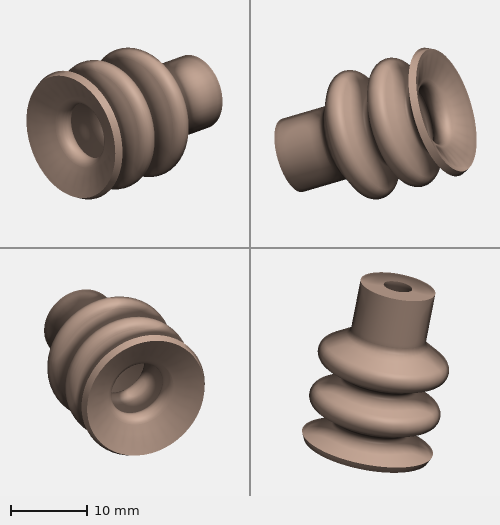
import cadquery as cq
import math

length = 23.0
outer_diameter = 17.5
wall = 1.01

pitch = 6.25
fold_count = 2
valley_diameter = 9.52
valley_round = 0.5
crest_round = 1.5

neck_diameter = 10.0
neck_start = 16.24
neck_round = 0.92
bore_diameter = 3.82

CREST = 1
VALLEY = -1


def flank_angle(crest, valley):
    """Angle from radial of the outward normal of the straight flank tangent to both rounds."""
    crest_r, crest_y, crest_size, _ = crest
    valley_r, valley_y, valley_size, _ = valley
    radial = valley_r - crest_r
    axial = valley_y - crest_y
    swing = math.acos((crest_size + valley_size) / math.hypot(radial, axial))
    return math.atan2(axial, radial) - math.copysign(swing, axial)


def point_on_round(bend, normal_angle, inset):
    """Point of the wall where its outward normal has the given angle, inset from the outside."""
    center_r, center_y, size, side = bend
    reach = side * size - inset
    return (center_r + reach * math.cos(normal_angle), center_y + reach * math.sin(normal_angle))


crest_center_r = outer_diameter / 2 - crest_round
valley_center_r = valley_diameter / 2 + valley_round
slope = abs(flank_angle((crest_center_r, pitch / 2, crest_round, CREST),
                        (valley_center_r, 0, valley_round, VALLEY)))

lip_outer = (outer_diameter / 2, wall * math.sin(slope))
lip_inner = (outer_diameter / 2 - wall * math.cos(slope), 0)
lip_flank_end_r = valley_center_r - valley_round * math.cos(slope)
lip_flank_height = (lip_outer[0] - lip_flank_end_r) / math.tan(slope)
first_valley_y = lip_outer[1] + lip_flank_height + valley_round * math.sin(slope)

bends = []
for fold in range(fold_count):
    valley_y = first_valley_y + fold * pitch
    bends.append((valley_center_r, valley_y, valley_round, VALLEY))
    bends.append((crest_center_r, valley_y + pitch / 2, crest_round, CREST))
bends.append((neck_diameter / 2 + neck_round, neck_start, neck_round, VALLEY))

normal_angles = [slope]
for bend, next_bend in zip(bends, bends[1:]):
    if bend[3] == CREST:
        normal_angles.append(flank_angle(bend, next_bend))
    else:
        normal_angles.append(flank_angle(next_bend, bend))
normal_angles.append(0)


def bellows_solid(lip_point, inset, end_y):
    """Solid of revolution bounded by the bellows wall at an inset, from Y = 0 to end_y."""
    outline = cq.Workplane("XY").moveTo(0, 0).lineTo(lip_inner[0], lip_inner[1])
    if lip_point != lip_inner:
        outline = outline.lineTo(*lip_point)
    for bend, start, end in zip(bends, normal_angles, normal_angles[1:]):
        outline = outline.lineTo(*point_on_round(bend, start, inset))
        outline = outline.threePointArc(
            point_on_round(bend, (start + end) / 2, inset),
            point_on_round(bend, end, inset),
        )
    if end_y > neck_start:
        outline = outline.lineTo(neck_diameter / 2 - inset, end_y)
    outline = outline.lineTo(0, end_y).close()
    return outline.revolve(360, (0, 0, 0), (0, 1, 0))


body = bellows_solid(lip_outer, 0, length)
cavity = bellows_solid(lip_inner, wall, neck_start)
bore = cq.Workplane("XZ").circle(bore_diameter / 2).extrude(-length)

result = body.cut(cavity).cut(bore)